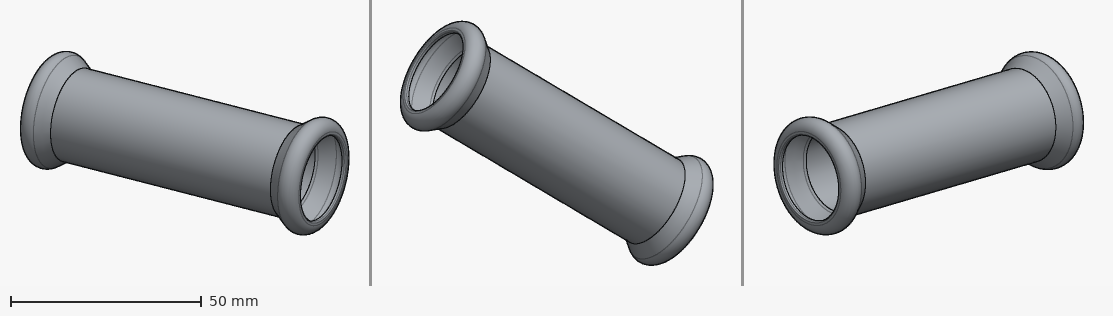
import cadquery as cq
import math

length = 84.0
half_length = length / 2
body_radius = 25.3 / 2
bore_radius = 22.2 / 2
mouth_radius = 23.2 / 2

crest_radius = 31.6 / 2
bead_radius = crest_radius - body_radius
bead_wall = body_radius - mouth_radius
cavity_radius = bead_radius - bead_wall
cone_end = 8.65

lip_rounding = 0.3
stop_radius = mouth_radius
stop_start = 8.3
stop_end = 8.9

tangent_angle = math.acos(bead_radius / (cone_end - bead_radius))


def at_depth(depth, radius):
    """Profile point at a depth from the -X end face."""
    return (depth - half_length, radius)


def on_bead(circle_radius, angle):
    """Profile point on a circle about the bead centre."""
    return at_depth(
        bead_radius + circle_radius * math.cos(angle),
        body_radius + circle_radius * math.sin(angle),
    )


def end_cavity():
    """Profile of the mouth, hollow bead and stop, closed along the axis."""
    fillet_middle = lip_rounding * (1 - math.sqrt(0.5))
    return (
        cq.Workplane("XY")
        .moveTo(*at_depth(0, 0))
        .lineTo(*at_depth(0, mouth_radius + lip_rounding))
        .threePointArc(
            at_depth(fillet_middle, mouth_radius + fillet_middle),
            at_depth(lip_rounding, mouth_radius),
        )
        .lineTo(*at_depth(bead_wall, mouth_radius))
        .lineTo(*at_depth(bead_wall, body_radius))
        .threePointArc(
            on_bead(cavity_radius, (math.pi + tangent_angle) / 2),
            on_bead(cavity_radius, tangent_angle),
        )
        .lineTo(*at_depth(stop_start, stop_radius))
        .lineTo(*at_depth(stop_end, bore_radius))
        .lineTo(*at_depth(stop_end, 0))
        .close()
        .revolve(360, (0, 0, 0), (1, 0, 0))
    )


def end_bead():
    """Solid bead and the cone running down to the tube."""
    return (
        cq.Workplane("XY")
        .moveTo(*at_depth(0, 0))
        .lineTo(*at_depth(0, body_radius))
        .threePointArc(
            on_bead(bead_radius, (math.pi + tangent_angle) / 2),
            on_bead(bead_radius, tangent_angle),
        )
        .lineTo(*at_depth(cone_end, body_radius))
        .lineTo(*at_depth(cone_end, 0))
        .close()
        .revolve(360, (0, 0, 0), (1, 0, 0))
    )


def both_ends(feature):
    """Add the mirrored copy of an end feature."""
    return feature.union(feature.mirror("YZ"))


bore = cq.Workplane("YZ").circle(bore_radius).extrude(half_length - stop_end, both=True)
tube = (
    cq.Workplane("YZ", origin=(cone_end - half_length, 0, 0))
    .circle(body_radius)
    .extrude(length - 2 * cone_end)
)

result = tube.union(both_ends(end_bead())).cut(bore).cut(both_ends(end_cavity())).clean()